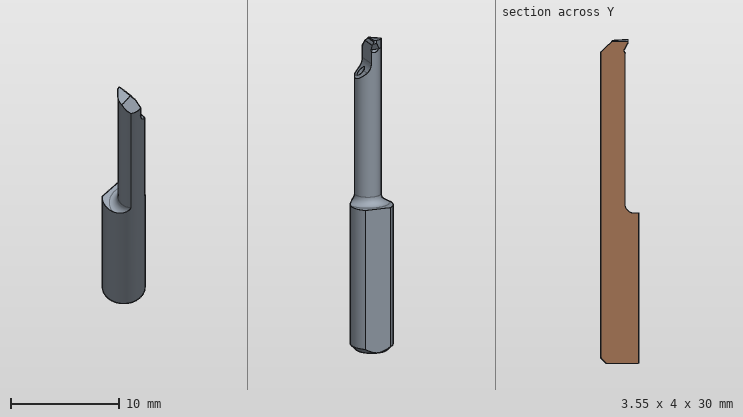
import cadquery as cq
import math

overall_height = 30
stock_height = overall_height + 0.3

shank_diameter = 4.0
shank_radius = shank_diameter / 2
width_over_flat = 3.55
shank_height = 13.95
shank_chamfer = 0.5
flat_x = shank_radius - width_over_flat

neck_diameter = 2.5
neck_radius = neck_diameter / 2
neck_x = 0.95
root_radius = 0.8

face_y = 0.15
relief_start_z = 26.05
relief_radius = 1.25

coolant_diameter = 0.7
coolant_x = 1.08
coolant_y = 0.65

head_base_z = 28.68
ledge_z = 28.98
ledge_x = -0.2
ledge_outer_x = -0.33
edge_bottom_z = 29.65
tip_x = -0.57
crease_x = 0.87
crease_drop = 0.1
back_chamfer_slope = 0.97
top_clearance = 0.27
side_clearance = 0.18
rake_depth = 0.15
rake_bottom_z = 29.5
rake_top_z = 29.82


def make_shank():
    body = cq.Workplane("XY").circle(shank_radius).extrude(shank_height)
    body = body.faces("<Z").chamfer(shank_chamfer)
    flat_cut = (
        cq.Workplane("XY")
        .box(shank_radius, 2 * shank_radius, shank_height, centered=(False, True, False))
        .translate((flat_x - shank_radius, 0, 0))
    )
    return body.cut(flat_cut)


def make_neck():
    """Revolve the neck with its concave root, then trim it to the shank cylinder."""
    root_top_z = shank_height + root_radius
    diagonal = root_radius * (1 - math.sqrt(0.5))
    neck = (
        cq.Workplane("XZ")
        .moveTo(0, 0)
        .lineTo(neck_radius, 0)
        .lineTo(neck_radius, shank_height)
        .lineTo(neck_radius + root_radius, shank_height)
        .threePointArc((neck_radius + diagonal, shank_height + diagonal), (neck_radius, root_top_z))
        .lineTo(neck_radius, stock_height)
        .lineTo(0, stock_height)
        .close()
        .revolve(360, (0, 0, 0), (0, 1, 0))
        .translate((neck_x, 0, 0))
    )
    above_shank = cq.Workplane("XY").workplane(offset=shank_height).circle(shank_radius)
    return neck.intersect(above_shank.extrude(stock_height - shank_height))


def make_tip_block():
    """Overhanging tip, with a 45 degree flank tangent to the neck cylinder."""
    tangent_offset = neck_radius * math.sqrt(0.5)
    tangent_x = neck_x - tangent_offset
    tangent_y = -tangent_offset
    corner_y = tangent_y + tangent_x - tip_x
    outline = [
        (tip_x, face_y),
        (tip_x, corner_y),
        (tangent_x, tangent_y),
        (neck_x, tangent_y),
        (neck_x, face_y),
    ]
    block = cq.Workplane("XY").workplane(offset=ledge_z).polyline(outline).close()
    return block.extrude(stock_height - ledge_z)


def envelope_points(side_shift, top_drop):
    """XZ section of the head envelope, shifted by the given clearances."""
    flank_x = tip_x + side_shift
    top_z = overall_height - top_drop
    crease_z = top_z - crease_drop
    back_z = crease_z - back_chamfer_slope * (shank_radius - crease_x)
    return [
        (ledge_outer_x + side_shift, head_base_z - top_clearance),
        (ledge_outer_x + side_shift, head_base_z),
        (ledge_x + side_shift, ledge_z),
        (flank_x, edge_bottom_z),
        (flank_x, top_z),
        (crease_x, crease_z),
        (shank_radius, back_z),
        (shank_radius, head_base_z - top_clearance),
    ]


def make_head_envelope():
    """Tapered body whose sides give the head its clearance angles."""
    edge_rise = top_clearance * rake_depth / (face_y + neck_radius)
    return (
        cq.Workplane("XZ", origin=(0, face_y, 0))
        .polyline(envelope_points(0, -edge_rise))
        .close()
        .workplane(offset=face_y + neck_radius)
        .polyline(envelope_points(side_clearance, top_clearance - edge_rise))
        .close()
        .loft(ruled=True)
    )


def make_relief():
    """Region beyond the cutting face, running out at 45 degrees through an arc."""
    corner_z = relief_start_z + neck_radius - face_y
    half_turn = math.radians(45) / 2
    tangent = relief_radius * math.tan(half_turn)
    arc_y = face_y + tangent * math.sqrt(0.5)
    arc_z = corner_z - tangent * math.sqrt(0.5)
    center_y = face_y + relief_radius
    mid_y = center_y - relief_radius * math.cos(half_turn)
    mid_z = corner_z + tangent - relief_radius * math.sin(half_turn)
    outer_y = shank_radius
    outer_z = relief_start_z + neck_radius - outer_y
    return (
        cq.Workplane("YZ")
        .moveTo(face_y, stock_height)
        .lineTo(face_y, corner_z + tangent)
        .threePointArc((mid_y, mid_z), (arc_y, arc_z))
        .lineTo(outer_y, outer_z)
        .lineTo(outer_y, stock_height)
        .close()
        .extrude(shank_radius, both=True)
    )


def make_rake():
    face_limit = face_y - rake_depth
    section = [
        (face_y, rake_bottom_z),
        (face_limit, rake_top_z),
        (face_limit, stock_height),
        (face_y, stock_height),
    ]
    return cq.Workplane("YZ").polyline(section).close().extrude(shank_radius, both=True)


neck = make_neck().cut(make_relief())
split_z = head_base_z - top_clearance
head_zone = (
    cq.Workplane("XY")
    .workplane(offset=split_z)
    .circle(2 * shank_radius)
    .extrude(stock_height - split_z)
)
head = neck.intersect(head_zone).union(make_tip_block()).intersect(make_head_envelope())
coolant_hole = (
    cq.Workplane("XY").center(coolant_x, coolant_y).circle(coolant_diameter / 2).extrude(stock_height)
)

result = make_shank().union(neck.cut(head_zone)).union(head)
result = result.cut(make_rake()).cut(coolant_hole)